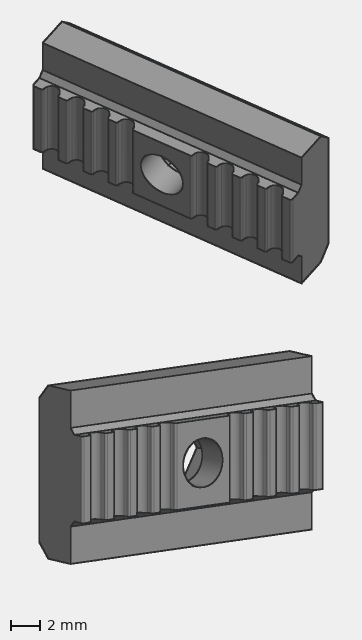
import cadquery as cq
import math

length = 20.82
thickness = 4.75
height = 12.0
back_chamfer = 1.0

plate_thickness = 3.45
rail_height = 6.0
rail_base_chamfer = 0.42

hole_diameter = 3.4

nut_width_across_flats = 5.5
nut_pocket_depth = 2.5

groove_pitch = 2.0
grooves_per_side = 4
first_groove_x = 1.5 * groove_pitch
groove_depth = 0.75
floor_radius = 0.56
flank_center_offset = 0.4
lip_radius = 0.15
cut_clearance = 0.2


def block_with_rail():
    """Extrude the stepped side profile along the length."""
    half_height = height / 2
    half_rail = rail_height / 2
    upper_half = [
        (0, half_height - back_chamfer),
        (-back_chamfer, half_height),
        (-plate_thickness, half_height),
        (-plate_thickness, half_rail + rail_base_chamfer),
        (-plate_thickness - rail_base_chamfer, half_rail),
        (-thickness, half_rail),
    ]
    lower_half = [(y, -z) for y, z in reversed(upper_half)]
    return (
        cq.Workplane("YZ")
        .polyline(upper_half + lower_half)
        .close()
        .extrude(length / 2, both=True)
    )


def round_rail_ends(body):
    """Round the front vertical edges at both ends of the rail."""
    front_end_edges = body.faces("<Y").edges("|Z")
    return front_end_edges.fillet(lip_radius)


def groove_cutter(center_x):
    """Groove whose floor, flank and lip arcs run tangent into each other."""
    floor_center_depth = groove_depth - floor_radius
    flank_radius = floor_radius + math.hypot(flank_center_offset, floor_center_depth)
    floor_end_angle = math.atan2(floor_center_depth, flank_center_offset)
    lip_start_angle = math.asin(lip_radius / (flank_radius + lip_radius))
    lip_center_x = (flank_radius + lip_radius) * math.cos(lip_start_angle) - flank_center_offset
    lip_middle_angle = math.pi / 4 + lip_start_angle / 2

    def point(side, x, depth):
        return center_x + side * x, depth - thickness

    def flank_point(side, angle):
        x = flank_radius * math.cos(angle) - flank_center_offset
        return point(side, x, flank_radius * math.sin(angle))

    def lip_end(side):
        return point(side, lip_center_x, 0)

    def lip_middle(side):
        x = lip_center_x - lip_radius * math.cos(lip_middle_angle)
        return point(side, x, lip_radius * (1 - math.sin(lip_middle_angle)))

    flank_middle_angle = (lip_start_angle + floor_end_angle) / 2
    left, right = -1, 1
    return (
        cq.Workplane("XY")
        .workplane(offset=-height / 2)
        .moveTo(*lip_end(left))
        .threePointArc(lip_middle(left), flank_point(left, lip_start_angle))
        .threePointArc(flank_point(left, flank_middle_angle), flank_point(left, floor_end_angle))
        .threePointArc(point(right, 0, groove_depth), flank_point(right, floor_end_angle))
        .threePointArc(flank_point(right, flank_middle_angle), flank_point(right, lip_start_angle))
        .threePointArc(lip_middle(right), lip_end(right))
        .lineTo(*point(right, lip_center_x, -cut_clearance))
        .lineTo(*point(left, lip_center_x, -cut_clearance))
        .close()
        .extrude(height)
    )


def through_hole():
    """Central hole running through the full thickness."""
    return cq.Workplane("XZ").circle(hole_diameter / 2).extrude(thickness)


def nut_pocket():
    """Hexagonal pocket around the hole, open at the back."""
    width_across_corners = nut_width_across_flats / math.cos(math.pi / 6)
    return cq.Workplane("XZ").polygon(6, width_across_corners).extrude(nut_pocket_depth)


result = round_rail_ends(block_with_rail())
for index in range(grooves_per_side):
    groove_x = first_groove_x + index * groove_pitch
    for side in (-1, 1):
        result = result.cut(groove_cutter(side * groove_x))
result = result.cut(through_hole())
result = result.cut(nut_pocket())